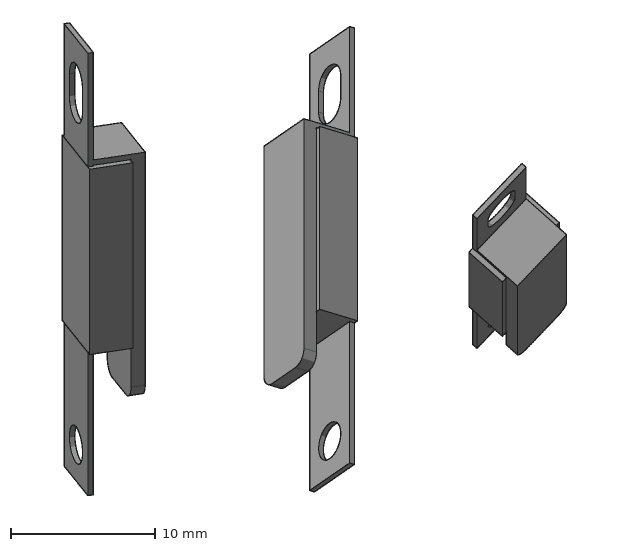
import cadquery as cq

total_height = 34.0
strip_width = 5.03
sheet_thickness = 0.4

housing_width = 5.8
housing_depth = 3.15
housing_bottom = 11.0
housing_height = 14.25
housing_top = housing_bottom + housing_height

plate_thickness = 1.05
plate_bottom = 6.8
plate_corner_radius = 1.05
shelf_gap = 0.07
shelf_bottom = housing_top + shelf_gap
shelf_top = shelf_bottom + sheet_thickness
bracket_depth = housing_depth + plate_thickness

hole_diameter = 2.75
hole_height = 2.8
slot_width = hole_diameter
slot_length = 4.42
slot_height = 29.82


def make_box(width, depth, bottom, top):
    """Block centred in X, with its front face at Y = 0."""
    box = cq.Workplane("XY").box(width, depth, top - bottom, centered=(True, False, False))
    return box.translate((0, 0, bottom))


def make_housing():
    return make_box(housing_width, housing_depth, housing_bottom, housing_top)


def make_lower_tab():
    tab = make_box(strip_width, sheet_thickness, 0, housing_bottom)
    hole = (
        cq.Workplane("XZ")
        .center(0, hole_height)
        .circle(hole_diameter / 2)
        .extrude(-sheet_thickness)
    )
    return tab.cut(hole)


def make_bracket():
    profile = [
        (0, housing_top),
        (0, total_height),
        (sheet_thickness, total_height),
        (sheet_thickness, shelf_top),
        (bracket_depth, shelf_top),
        (bracket_depth, plate_bottom),
        (housing_depth, plate_bottom),
        (housing_depth, shelf_bottom),
        (sheet_thickness, shelf_bottom),
        (sheet_thickness, housing_top),
    ]
    bracket = cq.Workplane("YZ").polyline(profile).close().extrude(strip_width / 2, both=True)

    bracket = bracket.faces("<Z").edges("|Y").fillet(plate_corner_radius)

    slot = (
        cq.Workplane("XZ")
        .center(0, slot_height)
        .slot2D(slot_length, slot_width, angle=90)
        .extrude(-sheet_thickness)
    )
    return bracket.cut(slot)


housing = make_housing()
lower_tab = make_lower_tab()
bracket = make_bracket()

result = cq.Compound.makeCompound([housing.val(), lower_tab.val(), bracket.val()])